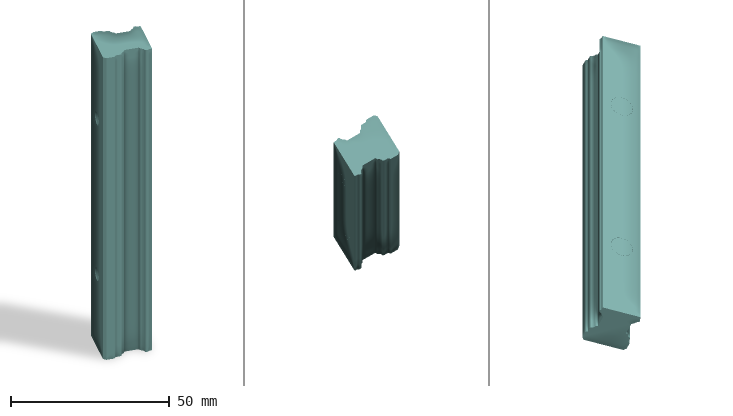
import cadquery as cq
import math

rail_length = 116.0
rail_height = 16.2
base_y = -rail_height / 2
top_y = rail_height / 2

base_half = 15.0 / 2
foot_half = 6.7
neck_half = 6.8
groove_outer_half = 6.7
groove_inner_half = 5.5
waist_half = 4.8
head_half = 6.5

foot_chamfer_height = 0.9
base_side_height = 3.6
neck_start = 4.2
head_start = 15.2
lip_end = 14.6
head_chamfer_height = 0.3
head_chamfer_width = 0.1

groove_center_height = 10.0
waist_offset = 2.3
groove_inner_offset = 2.8
groove_outer_offset = 4.0
lip_offset = 4.4
groove_sagitta = 0.2

hole_diameter = 4.4
counterbore_diameter = 7.4
plug_diameter = 7.3
counterbore_depth = 5.3
hole_spacing = 60.0
hole_positions = [-hole_spacing / 2, hole_spacing / 2]


def cylinder_from_top(diameter, depth, z):
    """Cylinder that goes down from the running face along -Y."""
    return (
        cq.Workplane("XZ", origin=(0, top_y, z))
        .circle(diameter / 2)
        .extrude(depth)
    )


def draw_ball_groove(outline, start, end):
    """Extend the outline with a shallow concave arc between two groove edges."""
    chord_x = end[0] - start[0]
    chord_y = end[1] - start[1]
    chord = math.hypot(chord_x, chord_y)
    middle = (
        (start[0] + end[0]) / 2 - groove_sagitta * chord_y / chord,
        (start[1] + end[1]) / 2 + groove_sagitta * chord_x / chord,
    )
    return outline.threePointArc(middle, end)


def make_half_rail():
    """Half of the rail on the +X side, up to the plane of symmetry."""
    lower_outer = (groove_outer_half, groove_center_height - groove_outer_offset)
    lower_inner = (groove_inner_half, groove_center_height - groove_inner_offset)
    upper_inner = (groove_inner_half, groove_center_height + groove_inner_offset)
    upper_outer = (groove_outer_half, groove_center_height + groove_outer_offset)

    outline = (
        cq.Workplane("XY", origin=(0, base_y, -rail_length / 2))
        .lineTo(foot_half, 0)
        .lineTo(base_half, foot_chamfer_height)
        .lineTo(base_half, base_side_height)
        .lineTo(neck_half, neck_start)
        .lineTo(neck_half, groove_center_height - lip_offset)
        .lineTo(*lower_outer)
    )
    outline = draw_ball_groove(outline, lower_outer, lower_inner)
    outline = (
        outline
        .lineTo(waist_half, groove_center_height - waist_offset)
        .lineTo(waist_half, groove_center_height + waist_offset)
        .lineTo(*upper_inner)
    )
    outline = draw_ball_groove(outline, upper_inner, upper_outer)
    outline = (
        outline
        .lineTo(neck_half, groove_center_height + lip_offset)
        .lineTo(neck_half, lip_end)
        .lineTo(head_half, head_start)
        .lineTo(head_half, rail_height - head_chamfer_height)
        .lineTo(head_half - head_chamfer_width, rail_height)
        .lineTo(0, rail_height)
    )
    return outline.close().extrude(rail_length)


def make_rail():
    """Symmetric rail with two counterbored mounting holes."""
    half_rail = make_half_rail()
    rail = half_rail.union(half_rail.mirror("YZ")).clean()
    for z in hole_positions:
        rail = rail.cut(cylinder_from_top(hole_diameter, rail_height, z))
        rail = rail.cut(cylinder_from_top(counterbore_diameter, counterbore_depth, z))
    return rail


def make_plug(z):
    """Round plug that sits on the counterbore floor, flush with the running face."""
    return cylinder_from_top(plug_diameter, counterbore_depth, z)


rail = make_rail()
plugs = [make_plug(z) for z in hole_positions]

result = cq.Compound.makeCompound([rail.val(), *[plug.val() for plug in plugs]])